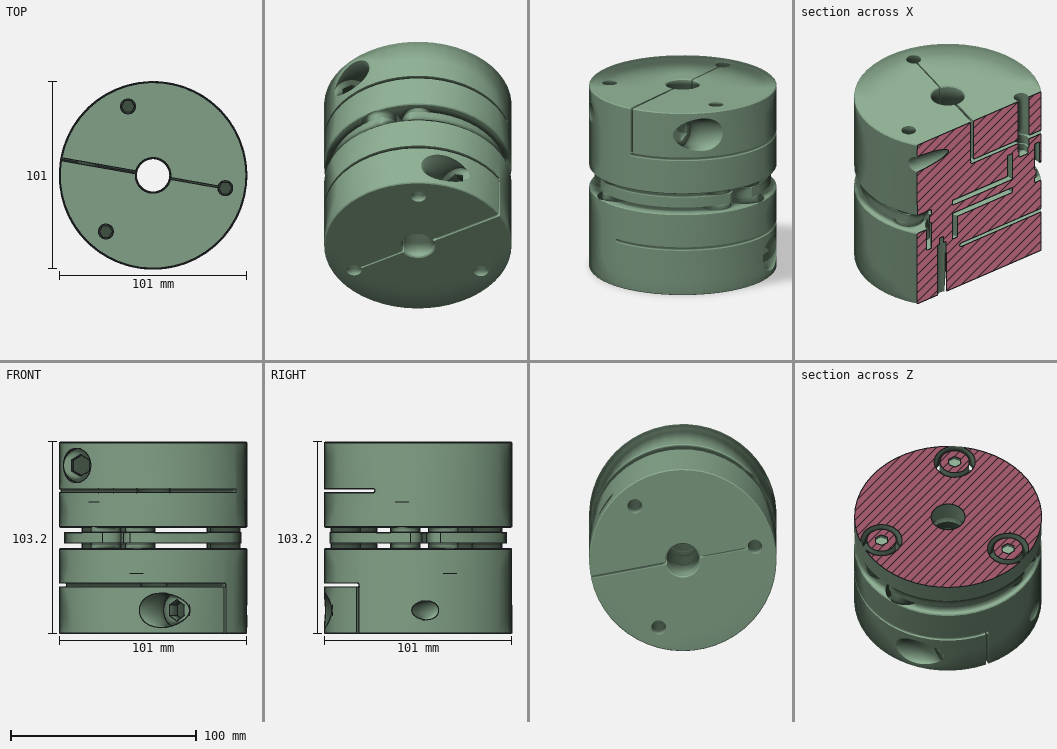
import cadquery as cq
import math

hub_diameter = 101.0
hub_radius = hub_diameter / 2
coupling_length = 103.23
hub_length = 45.9
hub_chamfer = 0.5
bore_diameter = 18.0
bore_chamfer = 0.6

clamp_length = 25.2
slit_width = 1.6
hinge_slit_width = 1.0
cross_slot_width = 2.0
cross_slot_end_radius = 0.9
hinge_angle = 162.5
slit_direction = 170.0

screw_offset = 35.7
screw_level = clamp_length / 2
counterbore_diameter = 18.5
head_face_distance = 22.7
clamp_socket_flats = 10.0
clamp_socket_depth = 6.5
thread_hole_diameter = 10.2
clamp_shank_diameter = 12.0

screws_per_hub = 3
screw_pair_angle = 30.0
screw_circle_radius = 39.5
access_hole_diameter = 8.0
recess_diameter = 21.8
recess_depth = 13.5
plate_socket_flats = 6.2
plate_socket_depth = 4.0

plate_radius = 47.6
plate_thickness = 5.6
lobe_radius = 9.0
washer_radius = 8.0
washer_taper_height = 0.75
washer_taper_width = 0.2
hub_gap = coupling_length - 2 * hub_length
washer_thickness = (hub_gap - plate_thickness) / 2

flip_axis_angle = 65.0
flip_axis_end = (
    math.cos(math.radians(flip_axis_angle)),
    math.sin(math.radians(flip_axis_angle)),
    0,
)


def polar(radius, angle):
    """Point at a radius and an angle in degrees."""
    return (radius * math.cos(math.radians(angle)), radius * math.sin(math.radians(angle)))


def hexagon(plane, across_flats, depth):
    """Hexagonal prism extruded along the plane normal, corners on the plane's x axis."""
    across_corners = across_flats / math.cos(math.radians(30))
    return cq.Workplane(plane).polygon(6, across_corners).extrude(depth)


screw_angles = [180 + i * 360 / screws_per_hub for i in range(screws_per_hub)]
upper_screw_angles = [angle + slit_direction for angle in screw_angles]
screw_points = [polar(screw_circle_radius, angle) for angle in screw_angles]


def hub_body():
    """Bored cylinder, chamfered on both rims and on both ends of the bore."""
    bore_radius = bore_diameter / 2
    profile = [
        (bore_radius, bore_chamfer),
        (bore_radius + bore_chamfer, 0),
        (hub_radius - hub_chamfer, 0),
        (hub_radius, hub_chamfer),
        (hub_radius, hub_length - hub_chamfer),
        (hub_radius - hub_chamfer, hub_length),
        (bore_radius + bore_chamfer, hub_length),
        (bore_radius, hub_length - bore_chamfer),
    ]
    return cq.Workplane("XZ").polyline(profile).close().revolve(360, (0, 0, 0), (0, 1, 0))


def radial_slit():
    """Slit from the rim through the bore, narrower up to the hinge-side access hole."""
    plane = cq.Workplane("XY").workplane(offset=hub_length - clamp_length)
    opening = plane.center(hub_radius / 2, 0).rect(hub_radius, slit_width).extrude(clamp_length)
    hinge = (
        plane.center(-screw_circle_radius / 2, 0)
        .rect(screw_circle_radius, hinge_slit_width)
        .extrude(clamp_length)
    )
    return opening.union(hinge)


def cross_slot():
    """Slot across the axis with a rounded end wall that follows the slit, then the hinge line."""
    bend = (-bore_diameter / 2, -slit_width / 2)
    rim_end = polar(hub_radius, hinge_angle)
    beyond_rim = (2 * rim_end[0] - bend[0], 2 * rim_end[1] - bend[1])
    reach = 2 * hub_radius
    outline = [(reach, bend[1]), bend, beyond_rim, (beyond_rim[0], reach), (reach, reach)]
    level = hub_length - clamp_length - cross_slot_width
    slot = cq.Workplane("XY").workplane(offset=level).polyline(outline).close().extrude(cross_slot_width)
    wall_edges = cq.selectors.BoxSelector(
        (-reach, bend[1] - slit_width, 0), (reach, hub_radius / 2, hub_length)
    )
    return slot.edges("#Z").edges(wall_edges).fillet(cross_slot_end_radius)


def clamp_screw_cut():
    """Counterbore down to the screw head, its hexagon socket and the far thread hole."""
    level = hub_length - screw_level
    face = cq.Plane(
        origin=(screw_offset, head_face_distance, level), xDir=(0, 0, 1), normal=(0, 1, 0)
    )
    counterbore = cq.Workplane(face).circle(counterbore_diameter / 2).extrude(hub_radius)
    socket = hexagon(face, clamp_socket_flats, -clamp_socket_depth)
    slit_wall = cq.Plane(
        origin=(screw_offset, -slit_width / 2, level), xDir=(0, 0, 1), normal=(0, -1, 0)
    )
    thread_hole = cq.Workplane(slit_wall).circle(thread_hole_diameter / 2).extrude(hub_radius)
    return counterbore.union(socket).union(thread_hole)


def clamp_shank():
    """Stretch of the clamp screw that bridges the slit."""
    return (
        cq.Workplane("XZ", origin=(screw_offset, slit_width / 2, hub_length - screw_level))
        .circle(clamp_shank_diameter / 2)
        .extrude(slit_width)
    )


def plate_screw_cuts():
    """Recesses for the screw heads, each reached by an access hole from the outer face."""
    recesses = cq.Workplane("XY").pushPoints(screw_points).circle(recess_diameter / 2).extrude(recess_depth)
    holes = cq.Workplane("XY").pushPoints(screw_points).circle(access_hole_diameter / 2).extrude(hub_length)
    return recesses.union(holes)


def hub():
    body = hub_body()
    for cut in (radial_slit(), cross_slot(), clamp_screw_cut(), plate_screw_cuts()):
        body = body.cut(cut)
    body = body.union(clamp_shank())
    return body.rotate((0, 0, 0), (0, 0, 1), slit_direction)


def washer(height):
    """Upright round washer with its slightly tapered plate end at z = 0."""
    profile = [
        (0, 0),
        (washer_radius - washer_taper_width, 0),
        (washer_radius, washer_taper_height),
        (washer_radius, height),
        (0, height),
    ]
    return cq.Workplane("XZ").polyline(profile).close().revolve(360, (0, 0, 0), (0, 1, 0))


def screw_head():
    """Washer and screw head that reach the recess floor, with a hexagon socket on top."""
    height = washer_thickness + recess_depth
    top = cq.Plane(origin=(0, 0, height), xDir=(1, 0, 0), normal=(0, 0, 1))
    return washer(height).cut(hexagon(top, plate_socket_flats, -plate_socket_depth))


def notch(angle):
    """Space outside the line joining a screw pair, less the round lobes at the screws."""
    ends = [angle, angle + screw_pair_angle]
    inner = [polar(screw_circle_radius, end) for end in ends]
    outer = [polar(2 * plate_radius, end) for end in reversed(ends)]
    wedge = cq.Workplane("XY").polyline(inner + outer).close().extrude(plate_thickness)
    lobes = cq.Workplane("XY").pushPoints(inner).circle(lobe_radius).extrude(plate_thickness)
    return wedge.cut(lobes)


def spacer_plate():
    plate = cq.Workplane("XY").circle(plate_radius).circle(bore_diameter / 2).extrude(plate_thickness)
    for angle in upper_screw_angles:
        plate = plate.cut(notch(angle))
    return plate.translate((0, 0, -plate_thickness / 2))


def upper_half():
    """Upper hub with its screw heads, and the washers over the lower hub's screws."""
    half = hub().translate((0, 0, hub_gap / 2))
    for angle in upper_screw_angles:
        x, y = polar(screw_circle_radius, angle)
        half = half.union(screw_head().translate((x, y, plate_thickness / 2)))
        x, y = polar(screw_circle_radius, angle + screw_pair_angle)
        half = half.union(washer(washer_thickness).translate((x, y, plate_thickness / 2)))
    return half


upper = upper_half()
lower = upper.rotate((0, 0, 0), flip_axis_end, 180)
result = spacer_plate().union(upper).union(lower)